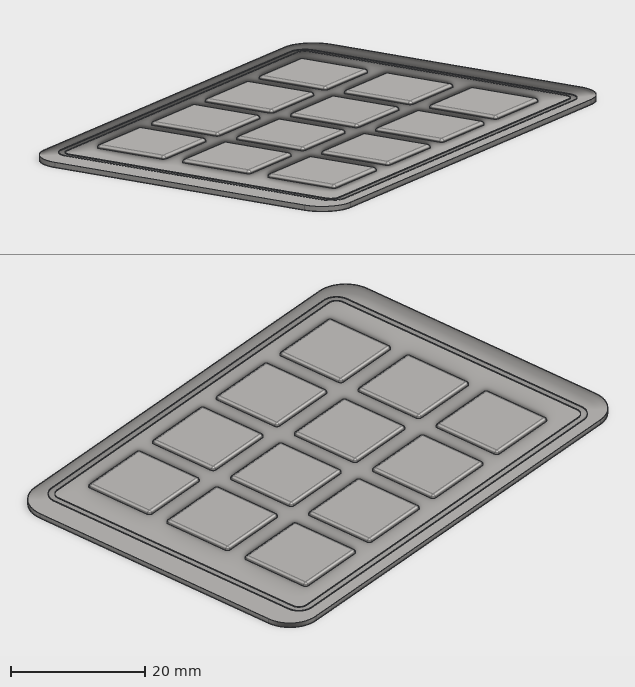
import cadquery as cq

plate_width = 54.0
plate_length = 77.0
plate_corner_radius = 5.0

total_height = 1.3
key_height = 0.5
plate_thickness = total_height - key_height

key_columns = 3
key_rows = 4
key_pitch = 15.0
key_size = 12.0
key_edge_radius = key_height

groove_side_margin = 2.0
groove_end_margin = 4.0
groove_width = 1.0
groove_depth = 0.115
groove_outer_radius = 2.5


def rounded_slab(width, length, height, corner_radius):
    """Slab centred in X and Y, standing on Z = 0, with rounded vertical corners."""
    slab = cq.Workplane("XY").box(width, length, height, centered=(True, True, False))
    return slab.edges("|Z").fillet(corner_radius)


def frame_groove():
    """Cutter for the rectangular groove, reaching from the groove floor to the plate top."""
    outer_width = plate_width - 2 * groove_side_margin
    outer_length = plate_length - 2 * groove_end_margin
    inner_width = outer_width - 2 * groove_width
    inner_length = outer_length - 2 * groove_width
    inner_radius = groove_outer_radius - groove_width
    outer = rounded_slab(outer_width, outer_length, groove_depth, groove_outer_radius)
    inner = rounded_slab(inner_width, inner_length, groove_depth, inner_radius)
    return outer.cut(inner).translate((0, 0, plate_thickness - groove_depth))


def key():
    """Square key centred on the Z axis, with its upright and top edges rounded."""
    block = rounded_slab(key_size, key_size, total_height, key_edge_radius)
    return block.faces(">Z").edges().fillet(key_edge_radius)


plate = rounded_slab(plate_width, plate_length, plate_thickness, plate_corner_radius)
result = plate.cut(frame_groove())

for column in range(key_columns):
    for row in range(key_rows):
        key_x = (column - (key_columns - 1) / 2) * key_pitch
        key_y = (row - (key_rows - 1) / 2) * key_pitch
        result = result.union(key().translate((key_x, key_y, 0)))